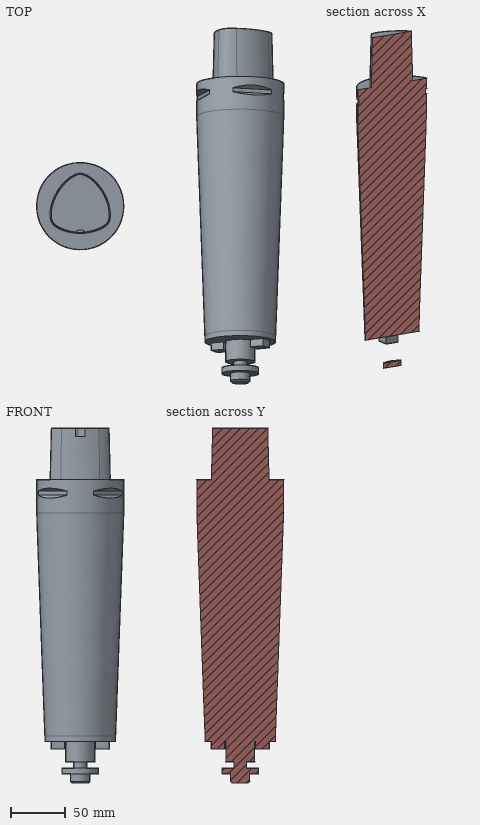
import cadquery as cq
import math

total_height = 325.5
chamfer_size = 1.5
flange_bottom = 8.5
flange_top = 13.7
boss_bottom = 19.5
key_bottom = 31.2
body_bottom = 38.0
taper_bottom = 43.0
shank_height = 47.2
collar_height = 30.5
collar_top = total_height - shank_height
collar_bottom = collar_top - collar_height

collar_radius = 80.0 / 2
body_end_radius = 65 / 2
boss_radius = 27.0 / 2
neck_radius = 12.0 / 2
flange_radius = 34.0 / 2
screw_head_radius = 18.0 / 2

key_inner = 14.0
key_outer = 26.7
key_width = 13.0

groove_center = collar_top - 12.5
groove_floor = 35.5
groove_floor_height = 3.5
groove_mouth_height = 9.0
groove_angles = (45, 135, 225, 315)
groove_overrun = 3.3

outline_steps = 12
shank_mean_radius = 27.7
shank_taper_offset = 1.15
lobe_size = 2.5
lobe_half_angle = 36
lobe_count = 3
lobe_spacing = 360 / lobe_count
first_lobe_angle = 90

notch_radius = 5.5
notch_back = 21.8
notch_depth = 7.8


def turned_parts():
    """Collar, tapered body, boss, neck, flange and screw head in one revolution."""
    profile = [
        (0, 0),
        (screw_head_radius - chamfer_size, 0),
        (screw_head_radius, chamfer_size),
        (screw_head_radius, flange_bottom),
        (flange_radius, flange_bottom),
        (flange_radius, flange_top),
        (neck_radius, flange_top),
        (neck_radius, boss_bottom),
        (boss_radius, boss_bottom),
        (boss_radius, body_bottom),
        (body_end_radius, body_bottom),
        (body_end_radius, taper_bottom),
        (collar_radius, collar_bottom),
        (collar_radius, collar_top),
        (0, collar_top),
    ]
    return cq.Workplane("XZ").polyline(profile).close().revolve(360, (0, 0), (0, 1))


def shank_edge(mean_radius, z, start, end):
    """Stretch of the lobed outline between two normal directions, in degrees."""

    def outline_point(fraction):
        normal = math.radians(start + (end - start) * fraction)
        lobe_phase = lobe_count * (normal - math.radians(first_lobe_angle))
        support = mean_radius + lobe_size * math.cos(lobe_phase)
        slide = -lobe_count * lobe_size * math.sin(lobe_phase)
        x = support * math.cos(normal) - slide * math.sin(normal)
        y = support * math.sin(normal) + slide * math.cos(normal)
        return cq.Vector(x, y, z)

    return cq.Edge.makeSpline([outline_point(i / outline_steps) for i in range(outline_steps + 1)])


def shank_outline(mean_radius, z):
    """Closed outline of three lobes joined by three flatter sides."""
    edges = []
    for index in range(lobe_count):
        angle = first_lobe_angle + index * lobe_spacing
        lobe_start = angle - lobe_half_angle
        lobe_end = angle + lobe_half_angle
        next_lobe_start = lobe_start + lobe_spacing
        edges.append(shank_edge(mean_radius, z, lobe_start, lobe_end))
        edges.append(shank_edge(mean_radius, z, lobe_end, next_lobe_start))
    return cq.Wire.assembleEdges(edges)


def shank():
    lower = shank_outline(shank_mean_radius, collar_top)
    upper = shank_outline(shank_mean_radius - shank_taper_offset, total_height)
    return cq.Workplane(cq.Solid.makeLoft([lower, upper], True))


def notch():
    return (
        cq.Workplane("XY", origin=(0, -notch_back - notch_radius, total_height - notch_depth))
        .circle(notch_radius)
        .extrude(notch_depth)
    )


def groove(angle):
    """Trapezoidal straight groove whose sides open outward."""
    slope = (groove_mouth_height - groove_floor_height) / 2 / (collar_radius - groove_floor)
    outer = collar_radius + groove_overrun
    half_floor = groove_floor_height / 2
    half_outer = groove_mouth_height / 2 + slope * groove_overrun
    return (
        cq.Workplane("XZ", origin=(0, 0, groove_center))
        .polyline([
            (groove_floor, -half_floor),
            (outer, -half_outer),
            (outer, half_outer),
            (groove_floor, half_floor),
        ])
        .close()
        .extrude(collar_radius, both=True)
        .rotate((0, 0, 0), (0, 0, 1), angle)
    )


def drive_key(side):
    """Rectangular key under the body; side is +1 or -1 along X."""
    return (
        cq.Workplane("XY", origin=(side * (key_inner + key_outer) / 2, 0, key_bottom))
        .rect(key_outer - key_inner, key_width)
        .extrude(body_bottom - key_bottom)
    )


result = turned_parts().union(shank()).cut(notch())
for groove_angle in groove_angles:
    result = result.cut(groove(groove_angle))
for key_side in (-1, 1):
    result = result.union(drive_key(key_side))